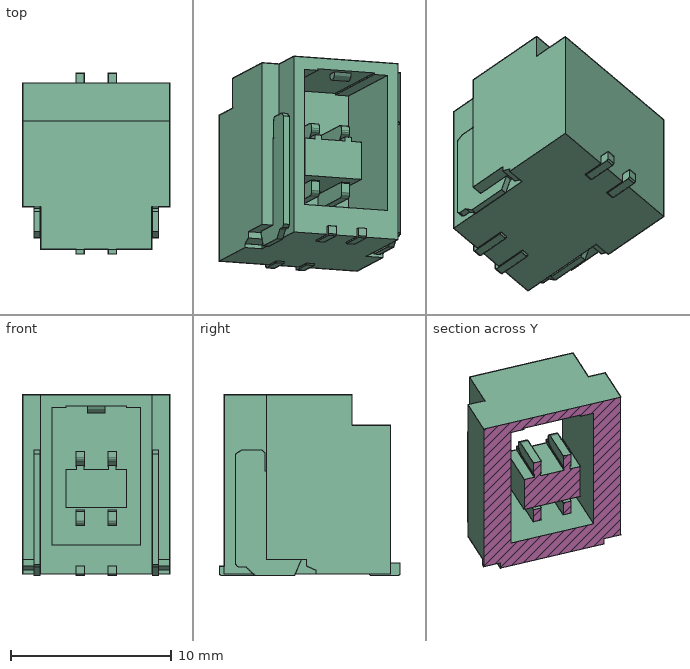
import cadquery as cq


width = 9.2
depth = 10.4
height = 11.2
nose_width = 6.94
nose_depth = 2.65
back_step_depth = 2.4
back_step_height = 1.9

cavity_width = 5.52
cavity_depth = 7.0
cavity_floor_z = 1.8
cavity_top_z = 10.4
relief_width = 3.76
relief_height = 0.1

latch_width = 1.1
latch_radius = 0.44
latch_y = 1.0

post_width = relief_width
post_front_y = 2.3
post_bottom_z = 4.15
post_top_z = 6.52
rail_width = 0.44
rail_top_z = 6.78

contact_pitch = 2.0
contact_width = 0.53
contact_front_y = 2.75
contact_x = (-contact_pitch / 2, contact_pitch / 2)
wall_embedment = 0.5
contact_back_y = cavity_depth + wall_embedment
standoff = 0.1
foot_chamfer = 0.1
front_foot_reach = 0.3
front_foot_top_z = 0.5
front_foot_length = 2.3
back_foot_reach = 0.6
back_foot_top_z = 0.7
back_foot_length = 1.95

upper_top_z = 7.64
upper_bottom_z = 6.72
nose_round = 0.36
nose_flat = 0.2
nose_tip_round = 0.2
nose_undercut = 0.4

lower_top_z = 3.99
lower_bottom_z = 3.02
lower_round = 0.3
lower_chamfer = 0.07

clip_inner_x = 3.51
clip_thickness = 0.38
clip_front_y = 0.71
clip_back_y = 2.55
clip_top_z = 7.75
clip_shoulder_z = 6.43
clip_heel_y = 4.82
clip_back_chamfer = 0.19
clip_front_chamfer_y = 0.39
clip_front_chamfer_z = 0.26
clip_toe_z = 0.43
clip_toe_chamfer = 0.18
clip_toe_end_y = 1.39
clip_sole_back_y = 4.41

notch_top_z = 0.9
notch_step_y = 5.15
notch_step_z = 0.5
notch_back_y = 5.73
notch_back_z = 0.24


def block(x_size, y_start, y_end, z_start, z_end, x_center=0.0):
    """Box centred on x_center, between the given Y and Z limits."""
    return cq.Workplane("XY").box(
        x_size, y_end - y_start, z_end - z_start, centered=(True, False, False)
    ).translate((x_center, y_start, z_start))


def plate(profile, x_center, thickness):
    """Extrude a closed YZ profile into a plate centred on x_center."""
    return profile.extrude(thickness).translate((x_center - thickness / 2, 0, 0))


def clip_notch(side):
    points = [
        (nose_depth, 0),
        (nose_depth, notch_top_z),
        (notch_step_y, notch_top_z),
        (notch_step_y, notch_step_z),
        (notch_back_y, notch_back_z),
        (notch_back_y, 0),
    ]
    flange = (width - nose_width) / 2
    x_center = side * (nose_width + flange) / 2
    return plate(cq.Workplane("YZ").polyline(points).close(), x_center, flange)


def make_housing():
    housing = block(width, nose_depth, depth, 0, height)
    housing = housing.union(block(nose_width, 0, depth, 0, height))
    housing = housing.cut(
        block(width, depth - back_step_depth, depth, height - back_step_height, height)
    )
    housing = housing.cut(block(cavity_width, 0, cavity_depth, cavity_floor_z, cavity_top_z))
    housing = housing.cut(
        block(relief_width, 0, cavity_depth, cavity_top_z, cavity_top_z + relief_height)
    )
    for side in (-1, 1):
        housing = housing.cut(clip_notch(side))
    return housing


def make_latch():
    """Round bar half sunk into the raised part of the ceiling."""
    ceiling_z = cavity_top_z + relief_height
    section = cq.Workplane("YZ").center(latch_y, ceiling_z).circle(latch_radius)
    return plate(section, 0, latch_width)


def make_post():
    post = block(post_width, post_front_y, contact_back_y, post_bottom_z, post_top_z)
    for x in contact_x:
        post = post.union(
            block(rail_width, post_front_y, contact_back_y, post_bottom_z, rail_top_z, x)
        )
    return post


def upper_contact(x):
    """Contact arm with a rounded upper nose and an undercut below it."""
    round_end_z = upper_top_z - nose_round
    profile = (
        cq.Workplane("YZ")
        .moveTo(contact_back_y, upper_top_z)
        .lineTo(contact_front_y + nose_round, upper_top_z)
        .radiusArc((contact_front_y, round_end_z), -nose_round)
        .lineTo(contact_front_y, round_end_z - nose_flat)
        .lineTo(contact_front_y + nose_undercut, upper_bottom_z)
        .lineTo(contact_back_y, upper_bottom_z)
        .close()
    )
    arm = plate(profile, x, contact_width)
    return arm.faces("<Y").edges("<Z").fillet(nose_tip_round)


def lower_contact(x):
    arm = block(contact_width, contact_front_y, contact_back_y, lower_bottom_z, lower_top_z, x)
    arm = arm.faces("<Y").edges("<Z").fillet(lower_round)
    return arm.faces("<Y").edges(">Z").chamfer(lower_chamfer)


def solder_foot(x, y_start, length, top_z):
    foot = block(contact_width, y_start, y_start + length, -standoff, top_z, x)
    return foot.faces("<Z").edges("|X").chamfer(foot_chamfer)


def clip(side):
    """Flat side plate rooted in the housing shoulder, with a foot reaching the board."""
    points = [
        (clip_heel_y, clip_shoulder_z),
        (clip_back_y, clip_shoulder_z),
        (clip_back_y, clip_top_z - clip_back_chamfer),
        (clip_back_y - clip_back_chamfer, clip_top_z),
        (clip_front_y + clip_front_chamfer_y, clip_top_z),
        (clip_front_y, clip_top_z - clip_front_chamfer_z),
        (clip_front_y, clip_toe_z + clip_toe_chamfer),
        (clip_front_y + clip_toe_chamfer, clip_toe_z),
        (clip_toe_end_y, clip_toe_z),
        (clip_toe_end_y + clip_toe_z + standoff, -standoff),
        (clip_sole_back_y, -standoff),
        (clip_heel_y, notch_top_z),
    ]
    x_center = side * (clip_inner_x + clip_thickness / 2)
    return plate(cq.Workplane("YZ").polyline(points).close(), x_center, clip_thickness)


def make_part():
    part = make_housing().union(make_latch()).union(make_post())
    back_foot_start = depth + back_foot_reach - back_foot_length
    for x in contact_x:
        part = part.union(upper_contact(x))
        part = part.union(lower_contact(x))
        part = part.union(solder_foot(x, -front_foot_reach, front_foot_length, front_foot_top_z))
        part = part.union(solder_foot(x, back_foot_start, back_foot_length, back_foot_top_z))
    for side in (-1, 1):
        part = part.union(clip(side))
    return part


result = make_part()